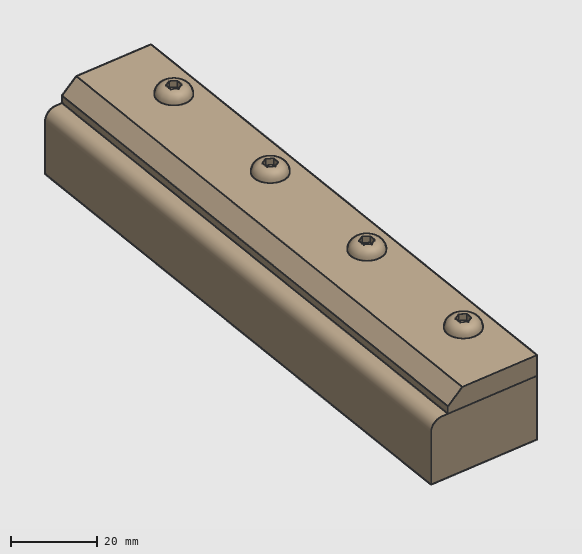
import cadquery as cq
import math

length = 152.4
base_width = 30.5
base_height = 18.3
base_round = 3.2

strip_width = 25.6
strip_height = 6.0
bevel_width = 4.1
bevel_height = 3.8
strip_top = base_height + strip_height

screw_count = 4
screw_pitch = length / screw_count
screw_back_offset = 7.3
screw_y = base_width - screw_back_offset
head_diameter = 9.1
head_height = 2.6
rim_height = 0.3
crown_diameter = 3.8
shank_diameter = 4.9
shank_depth_in_base = 12.2
shank_length = strip_height + shank_depth_in_base
socket_across_flats = 3.2
socket_depth = 1.8

screw_points = [((i + 0.5) * screw_pitch, screw_y) for i in range(screw_count)]


def drill_screw_holes(body):
    """Cut the shank holes, which end level with the screw tips."""
    holes = (
        cq.Workplane("XY", origin=(0, 0, strip_top - shank_length))
        .pushPoints(screw_points)
        .circle(shank_diameter / 2)
        .extrude(shank_length)
    )
    return body.cut(holes)


def make_base():
    """Rectangular bar with a rounded front top edge and blind screw holes."""
    bar = cq.Workplane("XY").box(length, base_width, base_height, centered=False)
    bar = bar.edges("<Y and >Z").fillet(base_round)
    return drill_screw_holes(bar)


def make_strip():
    """Flat strip with a bevelled front top edge and through screw holes."""
    front = base_width - strip_width
    strip = (
        cq.Workplane("YZ")
        .moveTo(front, base_height)
        .lineTo(base_width, base_height)
        .lineTo(base_width, strip_top)
        .lineTo(front + bevel_width, strip_top)
        .lineTo(front, strip_top - bevel_height)
        .close()
        .extrude(length)
    )
    return drill_screw_holes(strip)


def make_screw(x, y):
    """Domed button head with a short rim, flat crown and hex socket, on a plain shank."""
    head_radius = head_diameter / 2
    crown_radius = crown_diameter / 2
    shank_radius = shank_diameter / 2
    arc_width = head_radius - crown_radius
    arc_height = head_height - rim_height
    arc_radius = (arc_width**2 + arc_height**2) / (2 * arc_height)
    half_arc_angle = math.asin(arc_width / arc_radius) / 2
    arc_middle = (
        crown_radius + arc_radius * math.sin(half_arc_angle),
        head_height - arc_radius * (1 - math.cos(half_arc_angle)),
    )
    screw = (
        cq.Workplane("XZ")
        .moveTo(0, -shank_length)
        .lineTo(shank_radius, -shank_length)
        .lineTo(shank_radius, 0)
        .lineTo(head_radius, 0)
        .lineTo(head_radius, rim_height)
        .threePointArc(arc_middle, (crown_radius, head_height))
        .lineTo(0, head_height)
        .close()
        .revolve(360, (0, 0, 0), (0, 1, 0))
    )
    socket_across_corners = socket_across_flats / math.cos(math.pi / 6)
    socket = (
        cq.Workplane("XY", origin=(0, 0, head_height - socket_depth))
        .polygon(6, socket_across_corners)
        .extrude(socket_depth)
    )
    return screw.cut(socket).translate((x, y, strip_top))


base = make_base()
strip = make_strip()
screws = [make_screw(x, y) for x, y in screw_points]

result = cq.Compound.makeCompound([base.val(), strip.val(), *[screw.val() for screw in screws]])